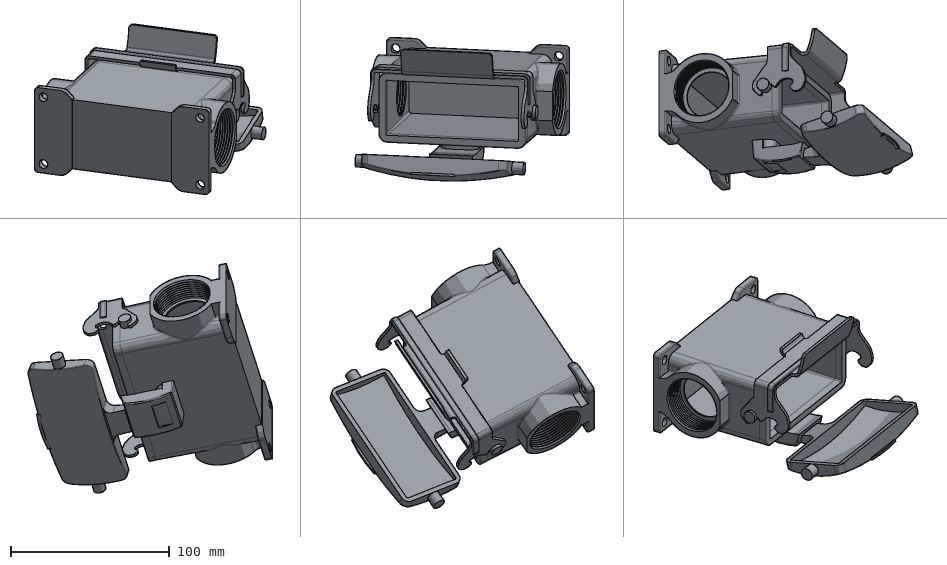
import cadquery as cq
import math


CORNER_X = 41.9
CORNER_Z = 16.8
BASE_RADIUS = 6.5
RIM_RADIUS = 5.4
SHELL_Y = 0.5
COLLAR_Y = 71.7
RIM_Y = 76.7
WALL = 4.6
FLOOR_Y = 4.6
RIM_ROUND = 0.4

OUTER_X = 58.5
FLANGE_INNER_X = 33.3
FLANGE_HALF_Z = 28.6
FLANGE_THICK = 4.6
FLANGE_TIP_RADIUS = 2.6
FLANGE_SHOULDER_RADIUS = 6.8
FLANGE_EDGE_ROUND = 0.8
SCREW_X = 52.5
SCREW_Z = 22.5
SCREW_RADIUS = 2.8

ENTRY_Y = 28.6
ENTRY_RADIUS = 22.8
ENTRY_FLAT_Y = 49.3
ENTRY_ROOT_FILLET = 0.7
ENTRY_BORE_RADIUS = 15.0
THREAD_DEPTH = 14.2
THREAD_MAJOR = 18.4
THREAD_MINOR = 17.7
THREAD_PITCH = 1.6
THREAD_TURNS = 8
WEB_HALF_Z = 12.3
WEB_FILLET = 10.2

PEG_DIAMETER = 8.0
PEG_RADIUS = PEG_DIAMETER / 2
PEG_Y = 67.3
PEG_MOUTH = 1.6
PEG_END_X = 52.4
LUG_HALF_X = 12.2
LUG_CORNER = 6.5
LUG_FLAT = 0.1
LUG_ROOT_Z = 19.5

LEVER_HALF_X = 50.4
LEVER_TOP = 26.1
SHEET = 1.9
LEVER_BEND = 3.0
LEVER_FRONT_Y = 69.6
LEVER_BACK_Y = 84.8
LEVER_SPAN = 16.3
BEAD_Y = 81.7
BEAD_WIDTH = 4.0
BEAD_HEIGHT = 0.7
BEAD_ROUND = 0.61
BEAD_END_Z = 7.7
HANDLE_HALF_X = 29.4
HANDLE_TIP_Y = 93.9
HANDLE_TIP_Z = 41.7
HANDLE_CORNER = 2.5
GRIP_HALF_X = 11.9
GRIP_TIP_Y = 64.6
GRIP_TIP_Z = 29.3
GRIP_CORNER = 0.8
ROOT_FILLET = 1.6

COVER_TILT = 13.2
COVER_END_Y = 131.1
COVER_END_Z = -18.4
COVER_HALF_X = 46.9
COVER_LENGTH = 43.1
COVER_CORNER = 4.7
COVER_WALL = 3.0
COVER_INNER_CORNER = 1.1
COVER_DEPTH = 20.3
DOME_AXIS_Y = -20.3
DOME_AXIS_Z = 56.5
DOME_RADIUS = 70.9
DOME_SIDE_RADIUS = 65.0
DOME_ROUND = 0.5
COVER_PIN_Y = 111.0
COVER_PIN_Z = -27.4
COVER_PIN_END_X = 54.0
TAB_HALF_X = 14.0
TAB_REACH = 1.8
TAB_BOW = 1.1
TAB_TOP = -10.0
TAB_BOTTOM = -11.4
TONGUE_HALF_X = 8.8
TONGUE_FILLET = 4.7
TONGUE_LENGTH = 12.2
TONGUE_ROOT_DEPTH = 9.0
TONGUE_TIP_DEPTH = 5.3

ARM_HALF_X = 13.8
ARM_FLOOR_Z = -28.5
ARM_HOOK_Z = -22.8
ARM_HOOK_Y = 52.8
ARM_END_Y = 45.7
ARM_JOINT_Y = 78.5
ARM_BOTTOM_Z = -38.5
ARM_EDGE_ROUND = 0.8
NOTCH_HALF_X = 8.8
NOTCH_Z = -36.7
NOTCH_END_Y = 61.0


def box(x0, x1, y0, y1, z0, z1):
    return cq.Workplane("XY").box(x1 - x0, y1 - y0, z1 - z0, centered=False).translate((x0, y0, z0))


def bar_x(sketch, half_x):
    """Extrude a closed outline of the YZ plane symmetrically along X."""
    return sketch.close().extrude(half_x, both=True)


def rod_x(x0, x1, y, z, radius):
    return cq.Workplane("YZ", origin=(x0, y, z)).circle(radius).extrude(x1 - x0)


def shell_section(y, radius):
    """Rounded rectangle across Y whose corner centres stay fixed."""
    section = cq.Sketch().rect(2 * (CORNER_X + radius), 2 * (CORNER_Z + radius)).vertices().fillet(radius)
    return section.moved(cq.Location(cq.Vector(0, 0, -y)))


def tapered_box(base_y, rim_y, inset):
    """Drafted block from base_y to the collar plus a straight stretch to rim_y."""
    base = shell_section(base_y, BASE_RADIUS - inset)
    rim = shell_section(COLLAR_Y, RIM_RADIUS - inset)
    draft = cq.Workplane("XZ").placeSketch(base, rim).loft()
    collar = cq.Workplane("XZ").placeSketch(rim).extrude(COLLAR_Y - rim_y)
    return draft.union(collar)


def flange():
    """Mounting flange on the +X side with its two screw holes."""
    shoulder_z = CORNER_Z + BASE_RADIUS
    shoulder_x = FLANGE_INNER_X + FLANGE_HALF_Z - shoulder_z
    plate = (
        cq.Workplane("XZ")
        .moveTo(FLANGE_INNER_X, -shoulder_z)
        .lineTo(shoulder_x, -FLANGE_HALF_Z)
        .lineTo(OUTER_X, -FLANGE_HALF_Z)
        .lineTo(OUTER_X, FLANGE_HALF_Z)
        .lineTo(shoulder_x, FLANGE_HALF_Z)
        .lineTo(FLANGE_INNER_X, shoulder_z)
        .close()
        .extrude(-FLANGE_THICK)
    )
    plate = plate.edges("|Y and >X").fillet(FLANGE_TIP_RADIUS)
    shoulders = cq.selectors.BoxSelector(
        (shoulder_x - 1.4, -1.4, -FLANGE_HALF_Z - 1.4), (shoulder_x + 1.4, FLANGE_THICK + 1.4, FLANGE_HALF_Z + 1.4)
    )
    plate = plate.edges("|Y").edges(shoulders).fillet(FLANGE_SHOULDER_RADIUS)
    plate = plate.faces(">Y").edges().fillet(FLANGE_EDGE_ROUND)
    screws = cq.Workplane("XZ").pushPoints([(SCREW_X, SCREW_Z), (SCREW_X, -SCREW_Z)])
    return plate.cut(screws.circle(SCREW_RADIUS).extrude(-FLANGE_THICK))


def entry_boss():
    """Cable entry on the +X side, flattened toward the open end."""
    boss = rod_x(CORNER_X, OUTER_X, ENTRY_Y, 0, ENTRY_RADIUS)
    keep = box(CORNER_X, OUTER_X, 0, ENTRY_FLAT_Y, -ENTRY_RADIUS, ENTRY_RADIUS)
    return boss.intersect(keep)


def plain_web():
    """-X web, a flat-sided block between the entry boss and the flange."""
    return box(-OUTER_X, -CORNER_X, 0, ENTRY_Y, -WEB_HALF_Z, WEB_HALF_Z)


def filleted_web():
    """+X web with concave rounds that run tangent into the entry boss."""
    reach = ENTRY_RADIUS + WEB_FILLET
    centre_z = WEB_HALF_Z + WEB_FILLET
    centre_y = ENTRY_Y - math.sqrt(reach ** 2 - centre_z ** 2)
    tangent_angle = -math.asin(centre_z / reach)
    middle_angle = (tangent_angle - math.pi / 2) / 2
    tangent = (
        centre_y + WEB_FILLET * math.cos(tangent_angle),
        centre_z + WEB_FILLET * math.sin(tangent_angle),
    )
    middle = (
        centre_y + WEB_FILLET * math.cos(middle_angle),
        centre_z + WEB_FILLET * math.sin(middle_angle),
    )
    outline = (
        cq.Workplane("YZ", origin=(CORNER_X, 0, 0))
        .moveTo(0, WEB_HALF_Z)
        .lineTo(centre_y, WEB_HALF_Z)
        .threePointArc(middle, tangent)
        .lineTo(ENTRY_Y, 0)
        .lineTo(tangent[0], -tangent[1])
        .threePointArc((middle[0], -middle[1]), (centre_y, -WEB_HALF_Z))
        .lineTo(0, -WEB_HALF_Z)
        .close()
    )
    return outline.extrude(OUTER_X - CORNER_X)


def entry_bore():
    """Threaded bore with ring grooves and the clearance hole through the +X wall."""
    thread_end = OUTER_X - THREAD_DEPTH
    outline = cq.Workplane("XY").moveTo(0, 0).lineTo(0, ENTRY_BORE_RADIUS)
    outline = outline.lineTo(thread_end, ENTRY_BORE_RADIUS).lineTo(thread_end, THREAD_MINOR)
    for turn in range(THREAD_TURNS):
        start = thread_end + turn * THREAD_PITCH
        outline = outline.lineTo(start + THREAD_PITCH / 2, THREAD_MAJOR)
        outline = outline.lineTo(start + THREAD_PITCH, THREAD_MINOR)
    outline = outline.lineTo(OUTER_X, THREAD_MAJOR).lineTo(OUTER_X, 0).close()
    return outline.revolve(360, (0, 0, 0), (1, 0, 0)).translate((0, ENTRY_Y, 0))


def hinge_lug():
    """Lug under the housing that fills the space behind the hook of the cover arm."""
    lug_end_y = ARM_HOOK_Y + LUG_CORNER
    lug = box(-LUG_HALF_X, LUG_HALF_X, ARM_HOOK_Y, lug_end_y, ARM_FLOOR_Z, -LUG_ROOT_Z)
    return lug.edges("|Z and >Y").fillet(LUG_CORNER - LUG_FLAT)


def entry_root_edges(side):
    """Edges where the entry boss and its web leave the flat side wall, clear of the corner seams."""
    seam_gap = 0.1
    wall_x = CORNER_X + BASE_RADIUS + seam_gap
    half_z = CORNER_Z - seam_gap
    inner = (side * (CORNER_X + seam_gap), SHELL_Y + seam_gap, -half_z)
    outer = (side * wall_x, COLLAR_Y - seam_gap, half_z)
    return cq.selectors.BoxSelector(inner, outer)


def make_housing():
    body = tapered_box(SHELL_Y, RIM_Y, 0)
    body = body.faces(">Y").edges().fillet(RIM_ROUND)
    boss = entry_boss()
    body = body.union(boss).union(boss.mirror("YZ")).union(plain_web()).union(filleted_web())
    for side in (1, -1):
        body = body.edges(entry_root_edges(side)).fillet(ENTRY_ROOT_FILLET)
    plate = flange()
    peg = rod_x(CORNER_X, PEG_END_X, PEG_Y, 0, PEG_RADIUS)
    for feature in (plate, peg):
        body = body.union(feature).union(feature.mirror("YZ"))
    body = body.union(hinge_lug())
    body = body.cut(tapered_box(FLOOR_Y, RIM_Y, WALL))
    bore = entry_bore()
    return body.cut(bore).cut(bore.mirror("YZ"))


def arch(half_x, top, bend, y0, y1, bottom):
    """Block along Y whose two upper edges are rounded."""
    return box(-half_x, half_x, y0, y1, bottom, top).edges("|Y and >Z").fillet(bend)


def lever_side_outline():
    """Side outline: a hook around the peg and a second hook that catches the cover pin."""
    peg_reach = PEG_RADIUS * math.sqrt(0.5)
    mouth_y = PEG_Y - PEG_MOUTH
    mouth_z = -math.sqrt(PEG_RADIUS ** 2 - (PEG_Y - mouth_y) ** 2)
    return (
        cq.Workplane("YZ")
        .moveTo(LEVER_FRONT_Y, LEVER_TOP)
        .lineTo(LEVER_FRONT_Y, 17.0)
        .threePointArc((69.0, 14.1), (67.2, 12.0))
        .lineTo(61.4, 4.2)
        .threePointArc((59.7, 0.1), (61.1, -3.5))
        .lineTo(63.4, -5.7)
        .threePointArc((64.5, -6.2), (65.7, -5.5))
        .lineTo(mouth_y, mouth_z)
        .threePointArc((PEG_Y - peg_reach, peg_reach), (PEG_Y + PEG_RADIUS, 0))
        .lineTo(72.3, 0)
        .lineTo(73.8, -1.5)
        .threePointArc((74.8, -1.8), (75.6, -1.1))
        .lineTo(77.4, 1.0)
        .threePointArc((82.4, 3.0), (86.3, 1.5))
        .threePointArc((86.8, 0.3), (86.3, -1.0))
        .lineTo(85.2, -1.9)
        .threePointArc((84.8, -3.0), (85.2, -4.0))
        .lineTo(87.2, -6.0)
        .lineTo(90.8, -6.0)
        .threePointArc((94.5, -1.1), (94.2, 5.1))
        .threePointArc((93.3, 7.7), (91.7, 10.0))
        .lineTo(86.5, 16.0)
        .threePointArc((85.2, 17.9), (LEVER_BACK_Y, 20.3))
        .lineTo(LEVER_BACK_Y, LEVER_TOP)
    )


def lever_handle():
    under = LEVER_TOP - SHEET
    handle = bar_x(
        cq.Workplane("YZ")
        .moveTo(LEVER_BACK_Y - 1.4, under)
        .lineTo(87.5, under)
        .threePointArc((89.1, 25.0), (90.2, 27.0))
        .threePointArc((92.4, 33.2), (HANDLE_TIP_Y, HANDLE_TIP_Z))
        .lineTo(HANDLE_TIP_Y - SHEET, HANDLE_TIP_Z)
        .threePointArc((90.6, 33.9), (88.6, 27.6))
        .threePointArc((87.9, 26.4), (87.0, LEVER_TOP))
        .lineTo(LEVER_BACK_Y - 1.4, LEVER_TOP),
        HANDLE_HALF_X,
    )
    return handle.edges("|Y and >Z").fillet(HANDLE_CORNER)


def lever_grip():
    under = LEVER_TOP - SHEET
    grip = bar_x(
        cq.Workplane("YZ")
        .moveTo(LEVER_FRONT_Y + 1.4, under)
        .lineTo(67.7, under)
        .threePointArc((65.8, 25.7), (GRIP_TIP_Y, GRIP_TIP_Z))
        .lineTo(GRIP_TIP_Y + SHEET, GRIP_TIP_Z)
        .threePointArc((66.8, 27.5), (67.9, LEVER_TOP))
        .lineTo(LEVER_FRONT_Y + 1.4, LEVER_TOP),
        GRIP_HALF_X,
    )
    return grip.edges("|Y and >Z").fillet(GRIP_CORNER)


def lever_bead():
    """Raised bead pressed outward around the top and both sides."""
    y0 = BEAD_Y - BEAD_WIDTH / 2
    y1 = BEAD_Y + BEAD_WIDTH / 2
    half_x = LEVER_HALF_X + BEAD_HEIGHT
    top = LEVER_TOP + BEAD_HEIGHT
    bead = arch(half_x, top, LEVER_BEND + BEAD_HEIGHT, y0, y1, BEAD_END_Z)
    return bead.faces("<Y or >Y").edges().fillet(BEAD_ROUND)


def root_fillet_edges(half_x, y):
    """Box around the inside corners where a flap leaves the lever top."""
    margin = 0.1
    lower = (-half_x - margin, y - margin, LEVER_TOP - SHEET - margin)
    upper = (half_x + margin, y + margin, LEVER_TOP + margin)
    return cq.selectors.BoxSelector(lower, upper)


def make_lever():
    y0 = LEVER_FRONT_Y - LEVER_SPAN
    y1 = LEVER_BACK_Y + LEVER_SPAN
    bottom = -LEVER_SPAN
    inside = arch(LEVER_HALF_X - SHEET, LEVER_TOP - SHEET, LEVER_BEND - SHEET, y0, y1, bottom)
    lever = arch(LEVER_HALF_X, LEVER_TOP, LEVER_BEND, y0, y1, bottom)
    lever = lever.intersect(bar_x(lever_side_outline(), LEVER_HALF_X))
    lever = lever.union(lever_bead()).cut(inside)
    lever = lever.union(lever_handle()).union(lever_grip())
    for half_x, y in ((HANDLE_HALF_X, LEVER_BACK_Y), (GRIP_HALF_X, LEVER_FRONT_Y)):
        lever = lever.edges("|Z").edges(root_fillet_edges(half_x, y)).fillet(ROOT_FILLET)
    return lever


def dome(inset):
    """Barrel about an X axis, reduced by inset, that bounds the cover below."""
    middle = DOME_RADIUS - inset
    side = DOME_SIDE_RADIUS - inset
    barrel = (
        cq.Workplane("XY")
        .moveTo(-COVER_HALF_X, 0)
        .lineTo(-COVER_HALF_X, side)
        .threePointArc((0, middle), (COVER_HALF_X, side))
        .lineTo(COVER_HALF_X, 0)
        .close()
        .revolve(360, (0, 0, 0), (1, 0, 0))
    )
    return barrel.translate((0, DOME_AXIS_Y, DOME_AXIS_Z))


def cover_block(inset, corner):
    half_x = COVER_HALF_X - inset
    block = box(-half_x, half_x, inset - COVER_LENGTH, -inset, -COVER_DEPTH, 0)
    return block.edges("|Z").fillet(corner).intersect(dome(inset))


def cover_tab():
    """Finger tab with a bowed edge at the free end."""
    tab = (
        cq.Workplane("XY", origin=(0, 0, TAB_BOTTOM))
        .moveTo(-TAB_HALF_X, -COVER_WALL / 2)
        .lineTo(-TAB_HALF_X, TAB_REACH - TAB_BOW)
        .threePointArc((0, TAB_REACH), (TAB_HALF_X, TAB_REACH - TAB_BOW))
        .lineTo(TAB_HALF_X, -COVER_WALL / 2)
        .close()
    )
    return tab.extrude(TAB_TOP - TAB_BOTTOM)


def cover_tongue():
    """Tongue from the cover to the arm, flared where it leaves the end wall."""
    wall_y = -COVER_LENGTH
    tip_y = wall_y - TONGUE_LENGTH
    root_x = TONGUE_HALF_X + TONGUE_FILLET
    dip = TONGUE_FILLET * (1 - math.sqrt(0.5))
    plan = (
        cq.Workplane("XY")
        .moveTo(-root_x, wall_y + 1.4)
        .lineTo(-root_x, wall_y)
        .threePointArc((-TONGUE_HALF_X - dip, wall_y - dip), (-TONGUE_HALF_X, wall_y - TONGUE_FILLET))
        .lineTo(-TONGUE_HALF_X, tip_y)
        .lineTo(TONGUE_HALF_X, tip_y)
        .lineTo(TONGUE_HALF_X, wall_y - TONGUE_FILLET)
        .threePointArc((TONGUE_HALF_X + dip, wall_y - dip), (root_x, wall_y))
        .lineTo(root_x, wall_y + 1.4)
        .close()
        .extrude(-COVER_DEPTH)
    )
    side = cq.Workplane("YZ").polyline([
        (wall_y + 1.4, 0),
        (tip_y, 0),
        (tip_y, -TONGUE_TIP_DEPTH),
        (wall_y, -TONGUE_ROOT_DEPTH),
        (wall_y + 1.4, -TONGUE_ROOT_DEPTH),
    ])
    return plan.intersect(bar_x(side, root_x))


def cover_arm():
    """Hinge arm that hooks up under the housing."""
    arm = bar_x(
        cq.Workplane("YZ")
        .moveTo(80.0, -27.6)
        .lineTo(78.0, -27.6)
        .threePointArc((74.5, -28.3), (70.9, ARM_FLOOR_Z))
        .lineTo(ARM_HOOK_Y, ARM_FLOOR_Z)
        .lineTo(ARM_HOOK_Y, ARM_HOOK_Z)
        .lineTo(ARM_END_Y, ARM_HOOK_Z)
        .lineTo(46.7, -34.4)
        .lineTo(47.5, -35.4)
        .threePointArc((62.6, ARM_BOTTOM_Z), (77.6, -36.9))
        .lineTo(ARM_JOINT_Y, -34.4),
        ARM_HALF_X,
    )
    far_x = 2 * ARM_HALF_X
    below_z = ARM_BOTTOM_Z - 1.4
    hook_edges = cq.selectors.BoxSelector((-far_x, ARM_END_Y - 1.4, below_z), (far_x, ARM_END_Y + 1.4, 0))
    lower_edges = cq.selectors.BoxSelector((-far_x, ARM_END_Y - 1.4, below_z), (far_x, ARM_JOINT_Y, -34.8))
    arm = arm.faces("<X or >X").edges(hook_edges + lower_edges).fillet(ARM_EDGE_ROUND)
    return arm.cut(box(-NOTCH_HALF_X, NOTCH_HALF_X, ARM_END_Y, NOTCH_END_Y, below_z, NOTCH_Z))


def make_cover():
    cover = cover_block(0, COVER_CORNER)
    cover = cover.faces("<Z").edges().fillet(DOME_ROUND)
    cover = cover.union(cover_tab()).union(cover_tongue())
    cover = cover.cut(cover_block(COVER_WALL, COVER_INNER_CORNER))
    cover = cover.rotate((0, 0, 0), (1, 0, 0), COVER_TILT).translate((0, COVER_END_Y, COVER_END_Z))
    pin_root = COVER_HALF_X - COVER_WALL / 2
    pin = rod_x(pin_root, COVER_PIN_END_X, COVER_PIN_Y, COVER_PIN_Z, PEG_RADIUS)
    return cover.union(pin).union(pin.mirror("YZ")).union(cover_arm())


housing = make_housing()
lever = make_lever()
cover = make_cover()

result = cq.Compound.makeCompound([housing.val(), lever.val(), cover.val()])